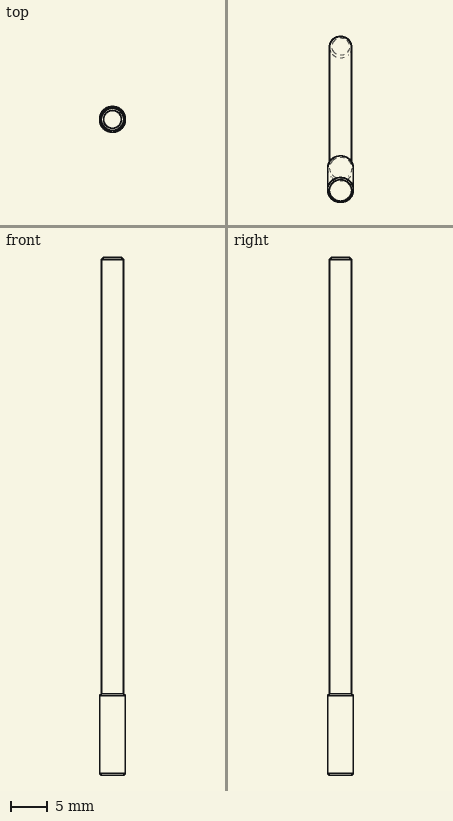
import cadquery as cq

total_length = 70.0
tip_diameter = 3.5
tip_length = 11.0
rod_diameter = 3.0
rod_end_chamfer = 0.3

tip_chamfer = (tip_diameter - rod_diameter) / 2
rod_length = total_length - tip_length


def make_tip():
    """Thick lower cylinder, bevelled at both ends, standing on Z = 0."""
    return (
        cq.Workplane("XY")
        .circle(tip_diameter / 2)
        .extrude(tip_length)
        .edges("%CIRCLE")
        .chamfer(tip_chamfer)
    )


def make_rod():
    """Long slim cylinder resting on the tip, bevelled at its free upper end."""
    return (
        cq.Workplane("XY")
        .workplane(offset=tip_length)
        .circle(rod_diameter / 2)
        .extrude(rod_length)
        .faces(">Z")
        .edges()
        .chamfer(rod_end_chamfer)
    )


tip = make_tip()
rod = make_rod()

result = cq.Compound.makeCompound([tip.val(), rod.val()])